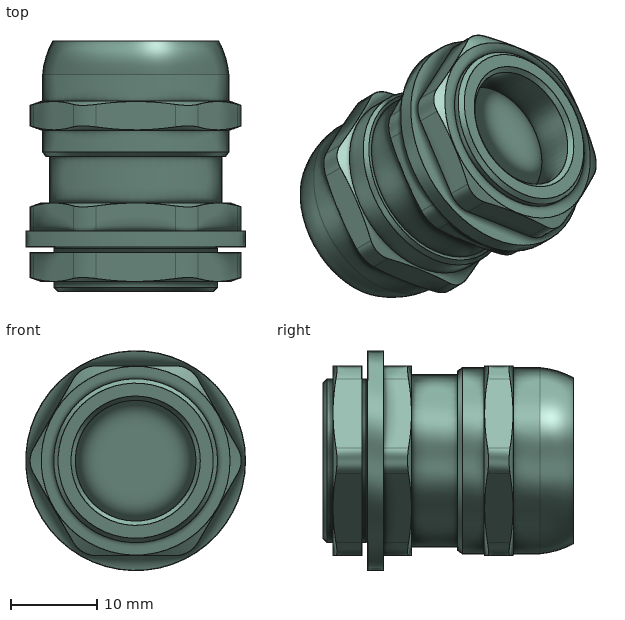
import cadquery as cq
import math


THREAD_DIA = 19.0
THREAD_END_Y = -5.2
THREAD_CHAMFER = 0.5
THREAD_ROOT_CHAMFER = 0.2

BORE_DIA = 14.0
BORE_FLOOR_Y = 0.0
BORE_CHAMFER = 0.5

FLANGE_DIA = 25.5
FLANGE_THICKNESS = 1.85
BODY_DIA = 20.0

CAP_DIA = 21.6
CAP_START_Y = 10.45
CAP_CHAMFER_LENGTH = 0.55
CAP_CHAMFER_DEPTH = 0.4
DOME_START_Y = 20.0
DOME_MID_DIA = 20.85
DOME_END_DIA = 19.2
CAP_END_Y = 23.9

HEX_ACROSS_FLATS = 22.0
HEX_CORNER_RADIUS = 3.0
NUT_CHAMFER_DIA = 21.9
HEX_CHAMFER_ANGLE = 20.0

LOCK_NUT_START_Y = -4.03
LOCK_NUT_END_Y = -0.67
BODY_HEX_END_Y = 5.1
CAP_HEX_START_Y = 13.5
CAP_HEX_END_Y = 16.93


def gland_body():
    """Turned outline of thread, flange, body and domed cap."""
    thread_radius = THREAD_DIA / 2
    flange_radius = FLANGE_DIA / 2
    body_radius = BODY_DIA / 2
    cap_radius = CAP_DIA / 2
    dome_mid_y = (DOME_START_Y + CAP_END_Y) / 2
    return (
        cq.Workplane("XY")
        .moveTo(0, THREAD_END_Y)
        .lineTo(thread_radius - THREAD_CHAMFER, THREAD_END_Y)
        .lineTo(thread_radius, THREAD_END_Y + THREAD_CHAMFER)
        .lineTo(thread_radius, -THREAD_ROOT_CHAMFER)
        .lineTo(thread_radius - THREAD_ROOT_CHAMFER, 0)
        .lineTo(flange_radius, 0)
        .lineTo(flange_radius, FLANGE_THICKNESS)
        .lineTo(body_radius, FLANGE_THICKNESS)
        .lineTo(body_radius, CAP_START_Y)
        .lineTo(cap_radius - CAP_CHAMFER_DEPTH, CAP_START_Y)
        .lineTo(cap_radius, CAP_START_Y + CAP_CHAMFER_LENGTH)
        .lineTo(cap_radius, DOME_START_Y)
        .threePointArc((DOME_MID_DIA / 2, dome_mid_y), (DOME_END_DIA / 2, CAP_END_Y))
        .lineTo(0, CAP_END_Y)
        .close()
        .revolve(360, (0, 0, 0), (0, 1, 0))
    )


def chamfered_hexagon(start_y, end_y, rim_dia, chamfer_start, chamfer_end):
    """Round-cornered hexagon, flats facing +Z and -Z, each chosen end chamfered out from rim_dia."""
    across_corners = HEX_ACROSS_FLATS / math.cos(math.radians(30))
    prism = (
        cq.Workplane("XZ", origin=(0, start_y, 0))
        .polygon(6, across_corners)
        .extrude(start_y - end_y)
        .edges("|Y")
        .fillet(HEX_CORNER_RADIUS)
    )
    rim_radius = rim_dia / 2
    outer_radius = across_corners / 2
    slope_length = (outer_radius - rim_radius) * math.tan(math.radians(HEX_CHAMFER_ANGLE))

    envelope = cq.Workplane("XY").moveTo(0, start_y)
    if chamfer_start:
        envelope = envelope.lineTo(rim_radius, start_y).lineTo(outer_radius, start_y + slope_length)
    else:
        envelope = envelope.lineTo(outer_radius, start_y)
    if chamfer_end:
        envelope = envelope.lineTo(outer_radius, end_y - slope_length).lineTo(rim_radius, end_y)
    else:
        envelope = envelope.lineTo(outer_radius, end_y)
    envelope = envelope.lineTo(0, end_y).close().revolve(360, (0, 0, 0), (0, 1, 0))
    return prism.intersect(envelope)


def blind_bore():
    """Flat-bottomed bore with a chamfered mouth at the threaded end."""
    bore_radius = BORE_DIA / 2
    return (
        cq.Workplane("XY")
        .moveTo(0, THREAD_END_Y)
        .lineTo(bore_radius + BORE_CHAMFER, THREAD_END_Y)
        .lineTo(bore_radius, THREAD_END_Y + BORE_CHAMFER)
        .lineTo(bore_radius, BORE_FLOOR_Y)
        .lineTo(0, BORE_FLOOR_Y)
        .close()
        .revolve(360, (0, 0, 0), (0, 1, 0))
    )


lock_nut = chamfered_hexagon(LOCK_NUT_START_Y, LOCK_NUT_END_Y, NUT_CHAMFER_DIA, True, False)
body_hex = chamfered_hexagon(FLANGE_THICKNESS, BODY_HEX_END_Y, NUT_CHAMFER_DIA, False, True)
cap_hex = chamfered_hexagon(CAP_HEX_START_Y, CAP_HEX_END_Y, CAP_DIA, True, True)

result = gland_body().union(lock_nut).union(body_hex).union(cap_hex).cut(blind_bore())